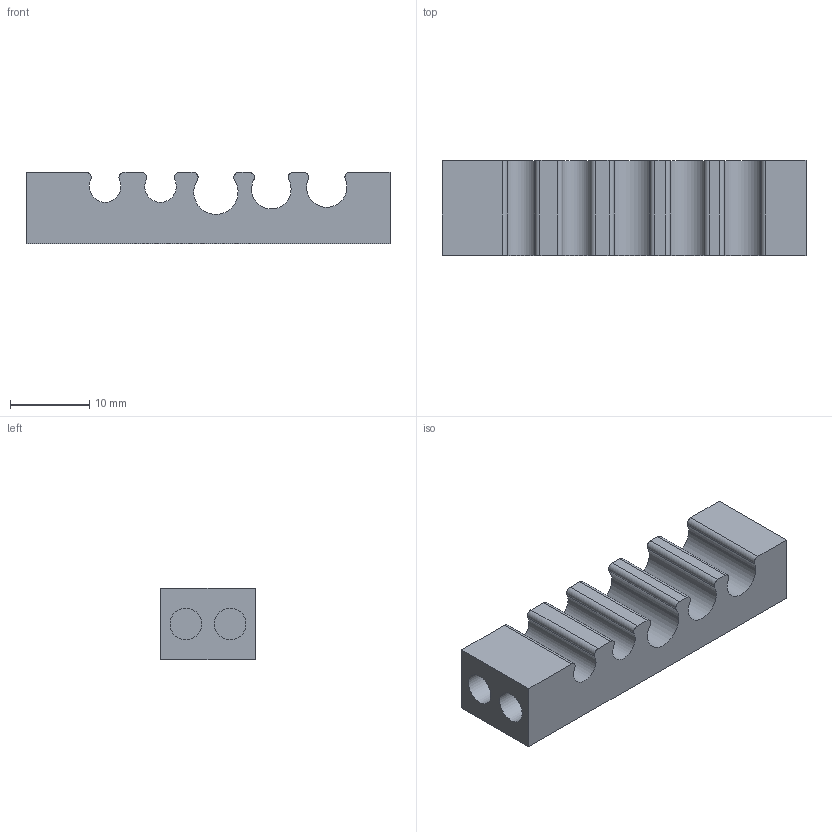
import cadquery as cq

LENGTH = 46.0
WIDTH = 12.0
HEIGHT = 9.0

FIRST_GROOVE_X = 10.0
GROOVE_PITCH = 7.0
GROOVES = [
    (2.0, 1.78),
    (2.0, 1.78),
    (2.8, 2.5),
    (2.5, 2.12),
    (2.55, 1.87),
]
LIP_RADIUS = 0.635

HOLE_DIAMETER = 4.0
HOLE_SPACING = 5.6
HOLE_DEPTH = 6.0


def make_block():
    return cq.Workplane("XY").box(LENGTH, WIDTH, HEIGHT, centered=False)


def cut_grooves(body):
    for index, (radius, axis_depth) in enumerate(GROOVES):
        groove_x = FIRST_GROOVE_X + index * GROOVE_PITCH
        groove = (
            cq.Workplane("XZ")
            .center(groove_x, HEIGHT - axis_depth)
            .circle(radius)
            .extrude(-WIDTH)
        )
        body = body.cut(groove)
    return body


def round_lips(body):
    """Round the long edges where the grooves open through the top face."""
    lip_zone = cq.selectors.BoxSelector(
        (LIP_RADIUS, 0, HEIGHT - LIP_RADIUS),
        (LENGTH - LIP_RADIUS, WIDTH, HEIGHT + LIP_RADIUS),
    )
    return body.edges("|Y").edges(lip_zone).fillet(LIP_RADIUS)


def drill_end_holes(body):
    middle_y = WIDTH / 2
    hole_ys = [middle_y - HOLE_SPACING / 2, middle_y + HOLE_SPACING / 2]
    holes = (
        cq.Workplane("YZ")
        .pushPoints([(y, HEIGHT / 2) for y in hole_ys])
        .circle(HOLE_DIAMETER / 2)
        .extrude(HOLE_DEPTH)
    )
    return body.cut(holes)


block = make_block()
grooved = cut_grooves(block)
rounded = round_lips(grooved)
result = drill_end_holes(rounded)